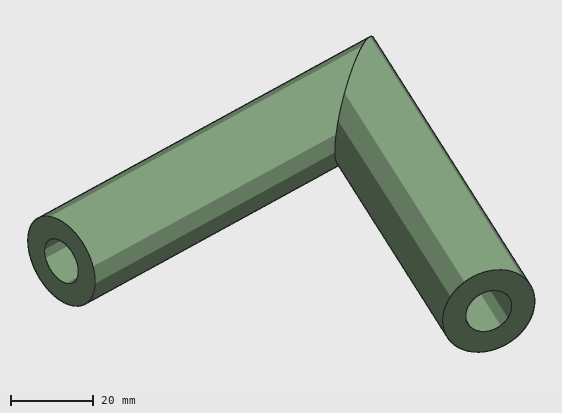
import cadquery as cq
import math

overall_x = 115.5
overall_y = 118.5
tube_diameter = 23.8
bore_diameter = 11.9
left_tilt = 11.8
right_drop = 35.1

left_heading = 270 - left_tilt
right_heading = 360 - right_drop
mitre_heading = (left_heading + right_heading) / 2
half_angle = (right_heading - left_heading) / 2

left_tilt_rad = math.radians(left_tilt)
left_edge = (overall_y - tube_diameter * math.sin(left_tilt_rad)) / math.cos(left_tilt_rad)
right_edge = (overall_x - left_edge * math.sin(left_tilt_rad)) / math.cos(math.radians(right_drop))

tip_overhang = tube_diameter / 2 / math.tan(math.radians(half_angle))

block_size = 4 * overall_y


def direction(heading):
    """Horizontal unit vector at a heading in degrees from +X."""
    angle = math.radians(heading)
    return cq.Vector(math.cos(angle), math.sin(angle), 0)


def mitre_half_space(side_heading):
    """Large block filling the side of the mitre plane that side_heading faces."""
    mitre_plane = cq.Plane((0, 0, 0), direction(mitre_heading), direction(side_heading))
    return cq.Workplane(mitre_plane).rect(block_size, block_size).extrude(block_size)


def mitred_tube(heading, outer_edge, side_heading):
    """Bored tube with a square open end, trimmed by the mitre plane at the joint."""
    start = direction(heading) * -tip_overhang
    tube_plane = cq.Plane(start, direction(heading - 90), direction(heading))
    tube = (
        cq.Workplane(tube_plane)
        .circle(tube_diameter / 2)
        .circle(bore_diameter / 2)
        .extrude(outer_edge)
    )
    return tube.intersect(mitre_half_space(side_heading)).solids()


left_tube = mitred_tube(left_heading, left_edge, mitre_heading - 90)
right_tube = mitred_tube(right_heading, right_edge, mitre_heading + 90)

result = cq.Compound.makeCompound([left_tube.val(), right_tube.val()])